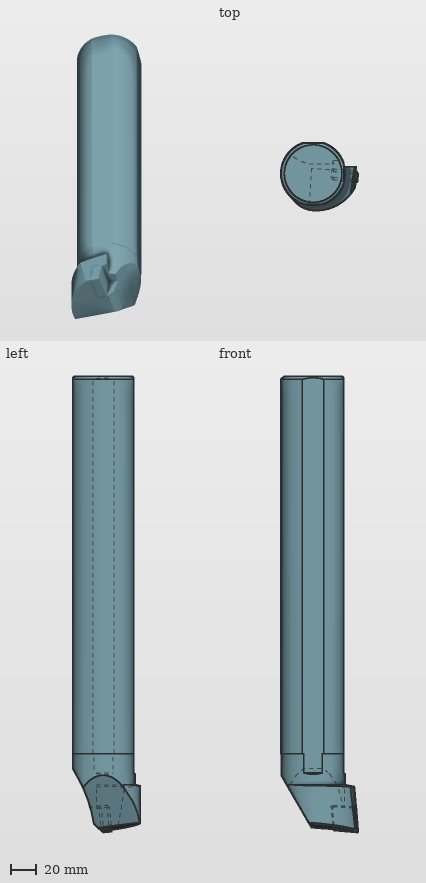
import cadquery as cq
import math

BAR_LENGTH = 351.5
SHANK_RADIUS = 25.0
NECK_RADIUS = 24.5
NECK_TOP = 60.8
FLAT_OFFSET = 23.5
FLAT_END = 46.0
FLAT_RUNOUT = 3.5
TOP_CHAMFER_HEIGHT = 2.5
TOP_CHAMFER_WIDTH = 2.8

HEAD_TOP = 37.0
SHOULDER_SLOPE = 0.2
HEAD_FRONT = -28.5
HEAD_BACK = 5.3
HEAD_START = (-19.0, -15.8)
HEAD_CORNER = (-14.8, -20.7)
HEAD_LEFT_ARC_MID = (-8.5, -26.0)
HEAD_RIGHT_ARC_MID = (22.0, -22.0)
HEAD_ARC_END = (35.5, -1.8)
END_FACE_X = 34.0
END_FACE_Y_SLOPE = 0.15
BOTTOM_Z = 4.2
BOTTOM_Y_SLOPE = 0.12

HEEL_X = -24.3
HEEL_Z = 43.5
HEEL_ANGLE = 60.0
GULLET_TOP = (23.5, 49.5)
GULLET_BEND = (16.5, 36.5)
GULLET_ARC_MID = (10.5, 21.0)
GULLET_FOOT = (7.5, 7.0)
GULLET_TOE = (0.5, 0.0)

INSERT_EDGE = 19.5
INSERT_THICKNESS = 6.5
INSERT_LEAD = 5.0
INSERT_NOSE_RADIUS = 1.0
INSERT_TIP = (34.8, -0.5, 0.0)
INSERT_TILT = 0.1
EDGE_SLOPE = math.tan(math.radians(INSERT_LEAD))

CUT = 3 * SHANK_RADIUS


def trimming_block(point, outward):
    """Return a block that fills the outward side of a plane."""
    plane = cq.Plane(origin=point, normal=outward)
    return cq.Workplane(plane).rect(2 * CUT, 2 * CUT).extrude(CUT)


def make_bar():
    """Return the chamfered shank and its neck, with three clamping flats."""
    bar = (
        cq.Workplane("XZ")
        .moveTo(0, 0)
        .lineTo(NECK_RADIUS, 0)
        .lineTo(NECK_RADIUS, NECK_TOP)
        .lineTo(SHANK_RADIUS, NECK_TOP)
        .lineTo(SHANK_RADIUS, BAR_LENGTH - TOP_CHAMFER_HEIGHT)
        .lineTo(SHANK_RADIUS - TOP_CHAMFER_WIDTH, BAR_LENGTH)
        .lineTo(0, BAR_LENGTH)
        .close()
        .revolve(360, (0, 0), (0, 1))
    )
    flat_cutter = (
        cq.Workplane("XZ")
        .moveTo(FLAT_OFFSET, FLAT_END)
        .lineTo(FLAT_OFFSET + FLAT_RUNOUT, FLAT_END - FLAT_RUNOUT)
        .lineTo(FLAT_OFFSET + FLAT_RUNOUT, BAR_LENGTH)
        .lineTo(FLAT_OFFSET, BAR_LENGTH)
        .close()
        .extrude(SHANK_RADIUS, both=True)
    )
    for angle in (-90, 0, 90):
        bar = bar.cut(flat_cutter.rotate((0, 0, 0), (0, 0, 1), angle))
    return bar


def make_head():
    """Return the offset head below its conical shoulder."""
    outline = (
        cq.Workplane("XY")
        .moveTo(0, 0)
        .lineTo(*HEAD_START)
        .lineTo(*HEAD_CORNER)
        .threePointArc(HEAD_LEFT_ARC_MID, (0, HEAD_FRONT))
        .threePointArc(HEAD_RIGHT_ARC_MID, HEAD_ARC_END)
        .lineTo(HEAD_ARC_END[0], HEAD_BACK)
        .lineTo(0, HEAD_BACK)
        .close()
        .extrude(NECK_TOP)
    )
    shoulder = (
        cq.Workplane("XZ")
        .lineTo(CUT, 0)
        .lineTo(CUT, HEAD_TOP - SHOULDER_SLOPE * (CUT - NECK_RADIUS))
        .lineTo(0, HEAD_TOP + SHOULDER_SLOPE * NECK_RADIUS)
        .close()
        .revolve(360, (0, 0), (0, 1))
    )
    return outline.intersect(shoulder)


def make_gullet():
    """Return the chip gullet that clears the +Y side of the head."""
    return (
        cq.Workplane("YZ")
        .moveTo(*GULLET_TOP)
        .lineTo(*GULLET_BEND)
        .threePointArc(GULLET_ARC_MID, GULLET_FOOT)
        .lineTo(*GULLET_TOE)
        .lineTo(CUT, GULLET_TOE[1])
        .lineTo(CUT, GULLET_TOP[1])
        .close()
        .extrude(CUT, both=True)
    )


def insert_prism(height):
    """Return the insert's rhombus, raised from its seat toward the rake side."""
    rake_normal = cq.Vector(INSERT_TILT, 1, -INSERT_TILT).normalized()
    seat = cq.Vector(*INSERT_TIP) - rake_normal * INSERT_THICKNESS
    plane = cq.Plane(origin=seat, xDir=(-1, INSERT_TILT, 0), normal=rake_normal)
    along = INSERT_EDGE * math.cos(math.radians(INSERT_LEAD))
    across = INSERT_EDGE * math.sin(math.radians(INSERT_LEAD))
    corners = [(0, 0), (along, across), (along + across, along + across), (across, along)]
    return (
        cq.Workplane(plane)
        .polyline(corners)
        .close()
        .extrude(height)
        .edges(cq.selectors.ParallelDirSelector(rake_normal))
        .fillet(INSERT_NOSE_RADIUS)
    )


def make_holder():
    """Return the bar and head with their relief faces and open insert pocket."""
    holder = make_bar().union(make_head())
    heel = math.radians(HEEL_ANGLE)
    trims = [
        ((END_FACE_X, 0, 0), (1, -END_FACE_Y_SLOPE, EDGE_SLOPE)),
        ((0, 0, BOTTOM_Z), (-EDGE_SLOPE, -BOTTOM_Y_SLOPE, -1)),
        ((HEEL_X, 0, HEEL_Z), (-math.sin(heel), 0, -math.cos(heel))),
    ]
    for point, outward in trims:
        holder = holder.cut(trimming_block(point, outward))
    holder = holder.cut(make_gullet())
    return holder.cut(insert_prism(CUT))


holder = make_holder()
cutting_insert = insert_prism(INSERT_THICKNESS)
result = cq.Compound.makeCompound([holder.solids().val(), cutting_insert.solids().val()])